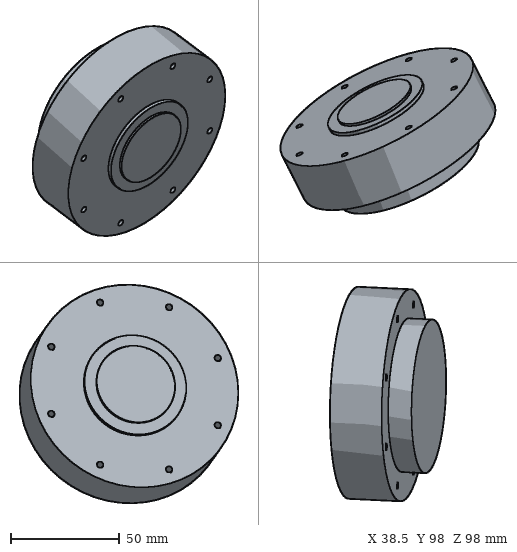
import cadquery as cq

BOSS_DIAMETER = 71.0
BOSS_LENGTH = 11.0
FLANGE_DIAMETER = 98.0
FLANGE_THICKNESS = 24.5
STEP_DIAMETER = 48.0
STEP_LENGTH = 1.8
TIP_DIAMETER = 37.0
TIP_LENGTH = 1.2

HOLE_COUNT = 8
HOLE_DIAMETER = 3.0
BOLT_CIRCLE_DIAMETER = 85.0
FIRST_HOLE_ANGLE = 360.0 / HOLE_COUNT / 2


def stacked_discs():
    """Boss, flange, step and tip, each built on the +X face of the one before."""
    body = cq.Workplane("YZ").circle(BOSS_DIAMETER / 2).extrude(BOSS_LENGTH)
    for diameter, length in (
        (FLANGE_DIAMETER, FLANGE_THICKNESS),
        (STEP_DIAMETER, STEP_LENGTH),
        (TIP_DIAMETER, TIP_LENGTH),
    ):
        body = body.faces(">X").workplane().circle(diameter / 2).extrude(length)
    return body


def bolt_holes():
    """Cylinders on the bolt circle, spanning the flange thickness."""
    return (
        cq.Workplane("YZ")
        .workplane(offset=BOSS_LENGTH)
        .polarArray(BOLT_CIRCLE_DIAMETER / 2, FIRST_HOLE_ANGLE, 360, HOLE_COUNT)
        .circle(HOLE_DIAMETER / 2)
        .extrude(FLANGE_THICKNESS)
    )


result = stacked_discs().cut(bolt_holes())